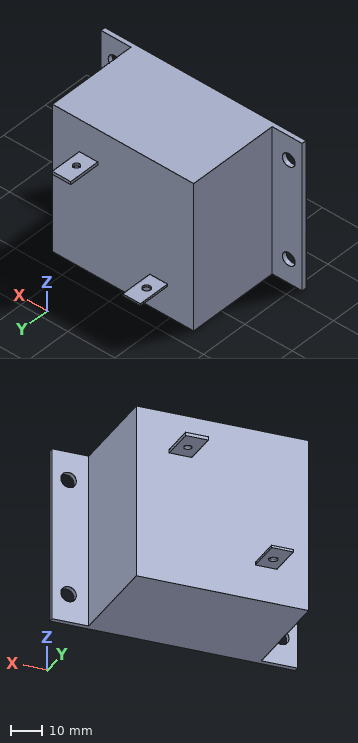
import cadquery as cq

FLANGE_WIDTH = 85.5
HEIGHT = 61.1
FLANGE_THICKNESS = 2.0
BOX_WIDTH = 60.0
HOUSING_DEPTH = 39.8
MOUNT_HOLE_DIAMETER = 5.3
MOUNT_HOLE_SPACING_X = 73.9
MOUNT_HOLE_SPACING_Z = 41.0

OVERALL_DEPTH = 52.9
TERMINAL_LENGTH = OVERALL_DEPTH - HOUSING_DEPTH
HOLE_FROM_TIP = 7.3

LOWER_X = -15.1
LOWER_Z = -17.6
LOWER_WIDTH = 7.5
LOWER_THICKNESS = 0.85
LOWER_HOLE_DIAMETER = 3.0

UPPER_X = 14.6
UPPER_Z = 16.6
UPPER_WIDTH = 7.9
UPPER_THICKNESS = 1.2
UPPER_HOLE_DIAMETER = 2.6


def make_housing():
    """Box and flange in one piece, with four holes through the flange ears."""
    flange = cq.Workplane("XY").box(
        FLANGE_WIDTH, FLANGE_THICKNESS, HEIGHT, centered=(True, False, True)
    )
    box = cq.Workplane("XY").box(BOX_WIDTH, HOUSING_DEPTH, HEIGHT, centered=(True, False, True))
    mount_holes = (
        cq.Workplane("XZ")
        .rarray(MOUNT_HOLE_SPACING_X, MOUNT_HOLE_SPACING_Z, 2, 2)
        .circle(MOUNT_HOLE_DIAMETER / 2)
        .extrude(-FLANGE_THICKNESS)
    )
    return flange.union(box).cut(mount_holes)


def make_terminal(x, z, width, thickness, hole_diameter):
    """Blade pointing along +Y, with a hole through its thickness."""
    blade = cq.Workplane("XY").box(
        width, TERMINAL_LENGTH, thickness, centered=(True, False, True)
    )
    hole = (
        cq.Workplane("XY")
        .center(0, TERMINAL_LENGTH - HOLE_FROM_TIP)
        .circle(hole_diameter / 2)
        .extrude(thickness, both=True)
    )
    return blade.cut(hole).translate((x, HOUSING_DEPTH, z))


housing = make_housing()
lower_terminal = make_terminal(LOWER_X, LOWER_Z, LOWER_WIDTH, LOWER_THICKNESS, LOWER_HOLE_DIAMETER)
upper_terminal = make_terminal(UPPER_X, UPPER_Z, UPPER_WIDTH, UPPER_THICKNESS, UPPER_HOLE_DIAMETER)

result = cq.Compound.makeCompound([housing.val(), lower_terminal.val(), upper_terminal.val()])